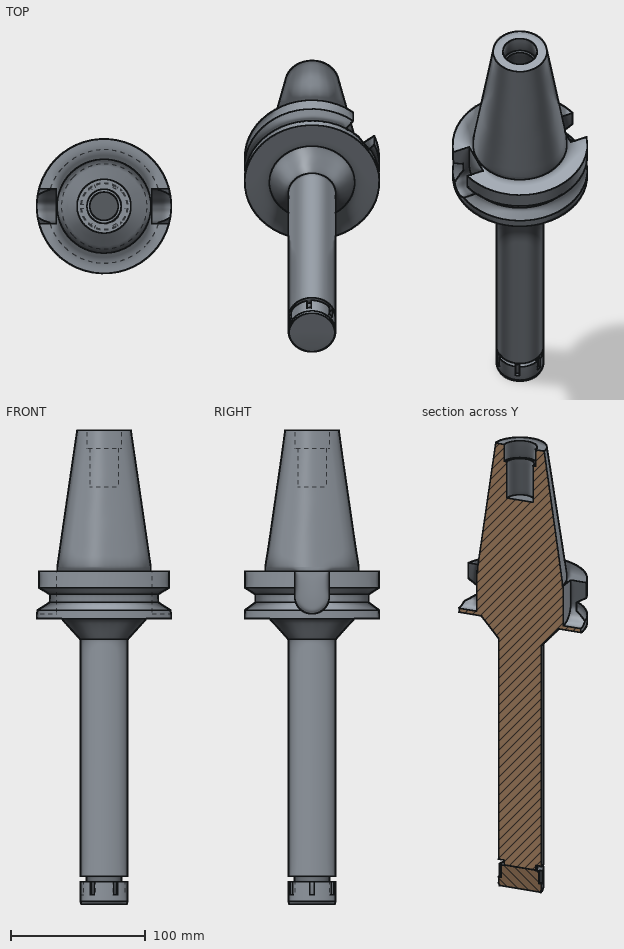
import cadquery as cq

total_length = 351.8

taper_length = 101.5
taper_ratio = 7 / 24
gauge_diameter = 69.5
gauge_radius = gauge_diameter / 2
taper_top_radius = gauge_radius - taper_length * taper_ratio / 2
collar_height = 3.0

flange_radius = 50.0
flange_height = 35.2
upper_rim_height = 12.3
lower_rim_height = 6.5
groove_radius = 42.2
groove_floor_height = 6.0
upper_groove_side_height = 5.0
lower_groove_side_height = (
    flange_height - upper_rim_height - lower_rim_height - groove_floor_height - upper_groove_side_height
)

slot_width = 25.7
slot_depth = 31.5
slot_floor_distance = 35.5

shank_radius = 17.5
shoulder_radius = 31.5
shoulder_height = 15.5
neck_radius = 13.0
neck_height = 4.0

bore_radius = 12.5
bore_depth = 13.5
inner_bore_radius = 10.5
inner_bore_depth = 42.2

nut_radius = shank_radius
nut_height = 17.0
nut_chamfer_height = 2.0
nut_chamfer_width = 0.7
notch_count = 6
notch_width = 3.0
notch_length = 10.0
notch_depth = 2.0

gauge_z = total_length - taper_length
flange_top_z = gauge_z - collar_height
upper_rim_z = flange_top_z - upper_rim_height
groove_top_z = upper_rim_z - upper_groove_side_height
groove_bottom_z = groove_top_z - groove_floor_height
lower_rim_z = groove_bottom_z - lower_groove_side_height
flange_bottom_z = flange_top_z - flange_height
shoulder_bottom_z = flange_bottom_z - shoulder_height
nut_top_z = nut_height
neck_top_z = nut_top_z + neck_height


def revolve_profile(points):
    """Turn a closed (radius, z) outline about the Z axis."""
    return cq.Workplane("XZ").polyline(points).close().revolve(360, (0, 0), (0, 1))


def holder_blank():
    return revolve_profile([
        (0, total_length),
        (taper_top_radius, total_length),
        (gauge_radius, gauge_z),
        (gauge_radius, flange_top_z),
        (flange_radius, flange_top_z),
        (flange_radius, upper_rim_z),
        (groove_radius, groove_top_z),
        (groove_radius, groove_bottom_z),
        (flange_radius, lower_rim_z),
        (flange_radius, flange_bottom_z),
        (shoulder_radius, flange_bottom_z),
        (shank_radius, shoulder_bottom_z),
        (shank_radius, neck_top_z),
        (neck_radius, neck_top_z),
        (neck_radius, nut_top_z),
        (0, nut_top_z),
    ])


def drive_slot(angle):
    """Round-bottomed slot cutter, open at the top of the flange and outward."""
    half_width = slot_width / 2
    arc_center_z = flange_top_z - slot_depth + half_width
    cutter = (
        cq.Workplane("YZ", origin=(slot_floor_distance, 0, 0))
        .moveTo(-half_width, flange_top_z)
        .lineTo(-half_width, arc_center_z)
        .threePointArc((0, flange_top_z - slot_depth), (half_width, arc_center_z))
        .lineTo(half_width, flange_top_z)
        .close()
        .extrude(flange_radius)
    )
    return cutter.rotate((0, 0, 0), (0, 0, 1), angle)


def top_bore():
    top = cq.Workplane("XY", origin=(0, 0, total_length))
    return top.circle(bore_radius).extrude(-bore_depth).union(
        top.circle(inner_bore_radius).extrude(-inner_bore_depth)
    )


def make_holder():
    holder = holder_blank().cut(top_bore())
    for angle in (0, 180):
        holder = holder.cut(drive_slot(angle))
    return holder


def make_nut():
    nut = revolve_profile([
        (0, 0),
        (nut_radius - nut_chamfer_width, 0),
        (nut_radius, nut_chamfer_height),
        (nut_radius, nut_top_z),
        (0, nut_top_z),
    ])
    notch = cq.Workplane("XY").box(2 * notch_depth, notch_width, notch_length)
    notch = notch.translate((nut_radius, 0, nut_top_z - notch_length / 2))
    for index in range(notch_count):
        nut = nut.cut(notch.rotate((0, 0, 0), (0, 0, 1), index * 360 / notch_count))
    return nut


holder = make_holder()
nut = make_nut()
result = cq.Compound.makeCompound([holder.val(), nut.val()])